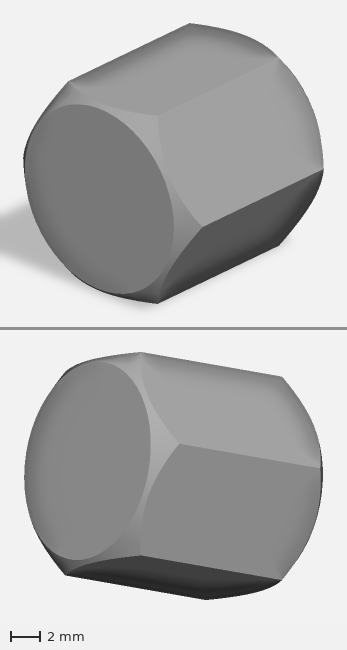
import cadquery as cq
import math

across_corners = 16.5
length = 15.25
end_face_diameter = 13.73
chamfer_angle = 45.0

corner_radius = across_corners / 2
end_face_radius = end_face_diameter / 2
half_length = length / 2

chamfer_depth = (corner_radius - end_face_radius) * math.tan(math.radians(chamfer_angle))
shoulder = half_length - chamfer_depth


def hexagonal_bar():
    """Hexagon with corners on +X and -X, centred on the origin."""
    return (
        cq.Workplane("XZ")
        .polygon(6, across_corners)
        .extrude(half_length, both=True)
    )


def turned_envelope():
    """Cylinder through the hexagon corners, coned at both ends, around Y."""
    return (
        cq.Workplane("XY")
        .moveTo(0, -half_length)
        .lineTo(end_face_radius, -half_length)
        .lineTo(corner_radius, -shoulder)
        .lineTo(corner_radius, shoulder)
        .lineTo(end_face_radius, half_length)
        .lineTo(0, half_length)
        .close()
        .revolve(360, (0, 0, 0), (0, 1, 0))
    )


result = hexagonal_bar().intersect(turned_envelope())